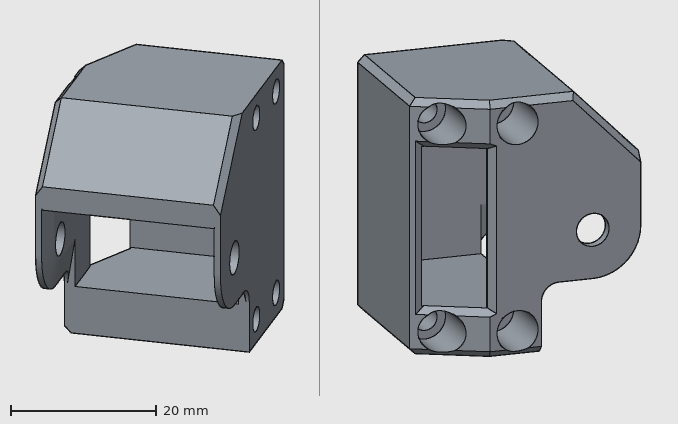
import cadquery as cq
import math

width = 26.5
depth = 32.0
height = 37.0
edge_chamfer = 1.0

roof_drop = 9.5
step_y = 14.5
step_fillet = 2.5
pivot_y = 7.03
pivot_z = 17.02
pivot_diameter = 4.75
lug_bottom = pivot_z - pivot_y

slant_x = 5.0
slant_y = 10.0
slant_length = math.hypot(slant_x, slant_y)
slant_along = (slant_x / slant_length, slant_y / slant_length)
slant_inward = (slant_along[1], -slant_along[0])

side_wall = 1.55
back_wall = 1.75
floor_z = 7.0
ceiling_z = height - floor_z
front_opening_top = 24.0
back_y = depth - back_wall

boss_radius = 3.0
lug_rim = 0.9
lug_taper = math.degrees(math.atan2(pivot_y - boss_radius, side_wall - lug_rim))

window_front_y = 21.1
bevel = 1.0

screw_diameter = 3.5
screw_head_diameter = 6.0
screw_seat_x = 10.0
screw_rows_y = (18.02, 28.0)
screw_edge = 3.5
screw_rows_z = (screw_edge, height - screw_edge)


def along_x(start_x=0):
    """Workplane with local axes Y and Z, extruding toward +X."""
    return cq.Workplane("YZ", origin=(start_x, 0, 0))


def outer_block():
    """Side outline with the rear corner sloped and the outer edges chamfered."""
    corner = pivot_y * math.sqrt(0.5)
    body = (
        along_x()
        .moveTo(pivot_y, lug_bottom)
        .threePointArc((pivot_y - corner, pivot_z - corner), (0, pivot_z))
        .lineTo(0, height - roof_drop)
        .lineTo(roof_drop, height)
        .lineTo(depth, height)
        .lineTo(depth, 0)
        .lineTo(step_y, 0)
        .lineTo(step_y, lug_bottom)
        .close()
        .extrude(width)
    )
    inside_corner = cq.selectors.NearestToPointSelector((width / 2, step_y, lug_bottom))
    body = body.edges(inside_corner).fillet(step_fillet)
    rear_corner = (
        cq.Workplane("XY")
        .polyline([(0, depth - slant_y), (slant_x, depth), (0, depth)])
        .close()
        .extrude(height)
    )
    body = body.cut(rear_corner)

    rims = []
    for z in (0, height):
        rims.append((0, (step_y + depth - slant_y) / 2, z))
        rims.append((slant_x / 2, depth - slant_y / 2, z))
        rims.append(((slant_x + width) / 2, depth, z))
    for x in (0, width):
        rims.append((x, roof_drop / 2, height - roof_drop / 2))
    edges = [body.edges(cq.selectors.NearestToPointSelector(point)).val() for point in rims]
    return body.newObject(edges).chamfer(edge_chamfer)


def cavity_prism(start_x, end_x):
    """Cavity outline, open at the front, with a ceiling parallel to the roof."""
    return (
        along_x(start_x)
        .polyline([
            (0, floor_z),
            (back_y, floor_z),
            (back_y, ceiling_z),
            (ceiling_z - front_opening_top, ceiling_z),
            (0, front_opening_top),
        ])
        .close()
        .extrude(end_x - start_x)
    )


def lug_relief():
    """Space that thins the -X lug toward its rim, leaving a flat round the pivot."""
    base_radius = boss_radius + side_wall * math.tan(math.radians(lug_taper))
    corner = base_radius * math.sqrt(0.5)
    far = depth + height
    tapered_wall = (
        along_x()
        .moveTo(pivot_y, pivot_z - base_radius)
        .threePointArc((pivot_y - corner, pivot_z - corner), (pivot_y - base_radius, pivot_z))
        .lineTo(pivot_y - base_radius, far)
        .lineTo(far, far)
        .lineTo(far, pivot_z - base_radius)
        .close()
        .extrude(side_wall, taper=lug_taper)
    )
    lug_space = cq.Workplane("XY").box(side_wall, step_y, height, centered=False)
    return cavity_prism(0, side_wall).intersect(lug_space).cut(tapered_wall)


def side_window():
    """Opening through the -X wall into the cavity, with a beveled rim."""
    bend_y = depth - slant_y
    mouth_plane = cq.Plane(
        origin=(0, bend_y, height / 2),
        xDir=(*slant_along, 0),
        normal=(*slant_inward, 0),
    )
    mouth_height = ceiling_z - floor_z + 2 * bevel
    mouth_rear = (back_y + bevel - bend_y) / slant_along[1]

    front_run = (window_front_y - bend_y) * slant_along[1]
    front_depth = (window_front_y - bend_y) * slant_inward[1]
    throat_front = bevel / slant_inward[0] * slant_along[0]
    mouth_front = throat_front - (throat_front - front_run) * bevel / (bevel - front_depth)
    throat_rear = mouth_rear - bevel

    mouth_center = (mouth_front + mouth_rear) / 2
    throat_center = (throat_front + throat_rear) / 2
    funnel = (
        cq.Workplane(mouth_plane)
        .center(mouth_center, 0)
        .rect(mouth_rear - mouth_front, mouth_height)
        .workplane(offset=bevel)
        .center(throat_center - mouth_center, 0)
        .rect(throat_rear - throat_front, mouth_height - 2 * bevel)
        .loft(ruled=True)
    )
    throat = (
        cq.Workplane("XY")
        .box(width / 2, back_y - bend_y, ceiling_z - floor_z, centered=False)
        .translate((0, bend_y, floor_z))
    )
    return funnel.union(throat)


def screw_holes():
    """Four holes along X with head recesses from the -X side."""
    points = [(y, z) for y in screw_rows_y for z in screw_rows_z]
    shanks = along_x().pushPoints(points).circle(screw_diameter / 2).extrude(width)
    heads = along_x().pushPoints(points).circle(screw_head_diameter / 2).extrude(screw_seat_x)
    return shanks.union(heads)


relief = lug_relief()
pivot_hole = along_x().center(pivot_y, pivot_z).circle(pivot_diameter / 2).extrude(width)

result = (
    outer_block()
    .cut(cavity_prism(side_wall, width - side_wall))
    .cut(relief)
    .cut(relief.mirror("YZ").translate((width, 0, 0)))
    .cut(side_window())
    .cut(screw_holes())
    .cut(pivot_hole)
)